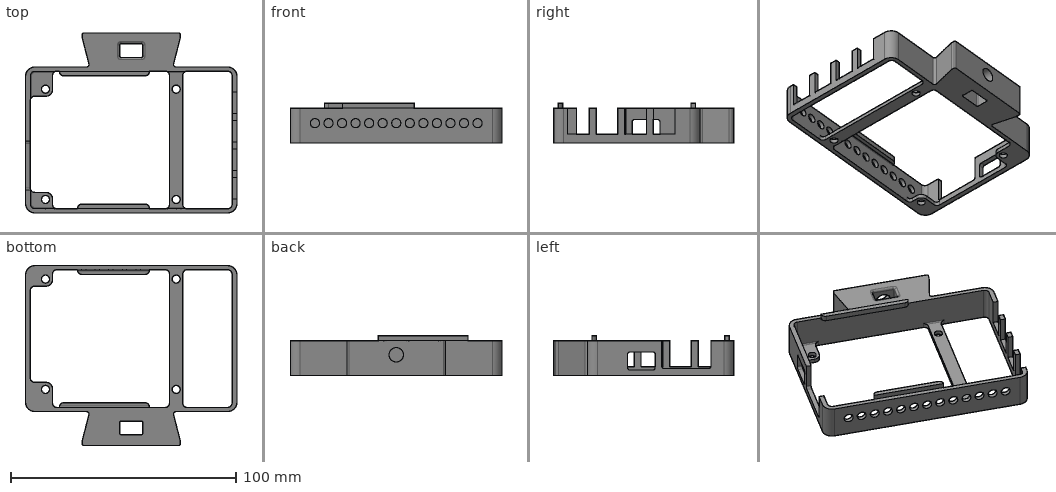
import cadquery as cq
import math

frame_length = 94
frame_width = 65.0
rim_height = 15.5
side_wall = 2.3
long_wall = 2.0
outer_radius = 4.3
inner_radius = 2.0

block_depth = 15
block_top_width = 43.6
block_root_width = 37.0
block_straight = 2.2
block_corner_radius = 0.75
block_root_radius = 0.9

pocket_length = 10.1
pocket_width = 5.9
pocket_gap = 4.9
pocket_corner_radius = 0.5
pocket_rim_radius = 1.0
screw_hole_diameter = 6.4
screw_hole_height = 9.2

support_thickness = 2.0
support_hole_diameter = 3.5
support_hole_x = (-38.1, 19.9)
support_hole_y = (-26.4, 22.6)
bar_margin = 3.0
tab_margin = 3.2
support_corner_radius = 3.0
support_side_fillet = 1.8
support_top_fillet = 0.5

lip_top = 17.8
lip_bottom = 15.2
lip_depth = 2.1
lip_end_radius = 2.0
lip_cove_radius = 0.5
lip_right_end = 8.1
back_lip_length = 40.0
front_lip_length = 32

vent_count = 13
vent_pitch = 6.0
vent_diameter = 4.0
vent_height = 8.8

window_center_y = 8.6
window_width = 12.2
window_bottom = 2.4
window_top = 10.4
notch_center_y = -11.4
notch_width = 21.8
notch_bottom = 3.1
opening_radius = 1.0

slot_count = 4
slot_pitch = 12.7
slot_width = 9.5
slot_bottom = 3.95
slot_row_center_y = -2.4

half_length = frame_length / 2
half_width = frame_width / 2
cavity_length = frame_length - 2 * side_wall
cavity_width = frame_width - 2 * long_wall
inner_x = cavity_length / 2
inner_y = cavity_width / 2
block_end_y = half_width + block_depth


def box(x_min, x_max, y_min, y_max, z_min, z_max):
    """Box given by its limits along each axis."""
    size = (x_max - x_min, y_max - y_min, z_max - z_min)
    return cq.Workplane("XY").box(*size, centered=False).translate((x_min, y_min, z_min))


def near_line(start, end, reach=0.05):
    """Selector for edges centred close to the segment from start to end."""
    low = tuple(min(a, b) - reach for a, b in zip(start, end))
    high = tuple(max(a, b) + reach for a, b in zip(start, end))
    return cq.selectors.BoxSelector(low, high)


def make_block():
    """Dovetail-shaped block that widens away from the frame."""
    overlap_y = half_width - long_wall / 2
    straight_y = block_end_y - block_straight
    half_top = block_top_width / 2
    half_root = block_root_width / 2
    outline = [
        (-half_root, overlap_y),
        (half_root, overlap_y),
        (half_root, half_width),
        (half_top, straight_y),
        (half_top, block_end_y),
        (-half_top, block_end_y),
        (-half_top, straight_y),
        (-half_root, half_width),
    ]
    block = cq.Workplane("XY").polyline(outline).close().extrude(rim_height)
    return block.edges("|Z and >Y").fillet(block_corner_radius)


def make_frame():
    """Solid rounded slab with the block attached, hollowed to a ring."""
    frame = cq.Workplane("XY").rect(frame_length, frame_width).extrude(rim_height)
    frame = frame.edges("|Z").fillet(outer_radius).union(make_block())
    half_root = block_root_width / 2
    for x in (-half_root, half_root):
        root = near_line((x, half_width, 0), (x, half_width, rim_height))
        frame = frame.edges("|Z").edges(root).fillet(block_root_radius)
    cavity = cq.Workplane("XY").rect(cavity_length, cavity_width).extrude(rim_height)
    return frame.cut(cavity.edges("|Z").fillet(inner_radius))


def add_supports(frame):
    """Two corner tabs and a cross bar, blended into the walls and drilled."""
    tab_hole_x, bar_x = support_hole_x
    front_hole_y, back_hole_y = support_hole_y
    tab_edge_x = tab_hole_x + tab_margin
    bar_left = bar_x - bar_margin
    bar_right = bar_x + bar_margin
    front_edge_y = front_hole_y + tab_margin
    back_edge_y = back_hole_y - tab_margin
    wall_x = -inner_x - side_wall / 2
    wall_y = inner_y + long_wall / 2

    supports = box(bar_left, bar_right, -wall_y, wall_y, 0, support_thickness)
    front_tab = box(wall_x, tab_edge_x, -wall_y, front_edge_y, 0, support_thickness)
    back_tab = box(wall_x, tab_edge_x, back_edge_y, wall_y, 0, support_thickness)
    supports = supports.union(front_tab.edges("|Z and >X and >Y").fillet(support_corner_radius))
    supports = supports.union(back_tab.edges("|Z and >X and <Y").fillet(support_corner_radius))
    slab = cq.Workplane("XY").rect(frame_length, frame_width).extrude(support_thickness)
    part = frame.union(supports.intersect(slab.edges("|Z").fillet(outer_radius)))

    corners = [(-inner_x, front_edge_y), (-inner_x, back_edge_y)]
    for x in (tab_edge_x, bar_left, bar_right):
        corners += [(x, -inner_y), (x, inner_y)]
    for x, y in corners:
        corner = near_line((x, y, 0), (x, y, support_thickness))
        part = part.edges("|Z").edges(corner).fillet(support_side_fillet)
    for y in (-inner_y, inner_y):
        bar_end = near_line((bar_left, y, support_thickness), (bar_right, y, support_thickness))
        part = part.edges("|X").edges(bar_end).fillet(support_top_fillet)
        tab_end = near_line((-inner_x, y, support_thickness), (tab_edge_x, y, support_thickness))
        part = part.edges("|X").edges(tab_end).fillet(support_top_fillet)

    centers = [(x, y) for x in support_hole_x for y in support_hole_y]
    holes = cq.Workplane("XY").pushPoints(centers).circle(support_hole_diameter / 2)
    return part.cut(holes.extrude(support_thickness))


def make_lip(length, side):
    """Round-ended lip on the long wall at side = +1 (+Y) or -1 (-Y), with a cove below it."""
    left_end = lip_right_end - length
    lip = box(left_end, lip_right_end, inner_y - lip_depth, inner_y, lip_bottom, lip_top)
    lip = lip.edges("|Z and <Y").fillet(lip_end_radius)

    arc_offset = lip_cove_radius * (1 - math.sqrt(0.5))
    cove = (
        cq.Workplane("YZ", origin=(left_end, 0, 0))
        .moveTo(inner_y, lip_bottom)
        .lineTo(inner_y - lip_cove_radius, lip_bottom)
        .threePointArc(
            (inner_y - arc_offset, lip_bottom - arc_offset),
            (inner_y, lip_bottom - lip_cove_radius),
        )
        .close()
        .extrude(length)
    )
    lip = lip.union(cove)
    return lip if side > 0 else lip.mirror("XZ")


def cut_pocket(part):
    """Through pocket with a rounded top rim and a screw hole out to the block's end face."""
    center_y = block_end_y - pocket_gap - pocket_width / 2
    pocket = cq.Workplane("XY").center(0, center_y).rect(pocket_length, pocket_width).extrude(rim_height)
    part = part.cut(pocket.edges("|Z").fillet(pocket_corner_radius))
    half_x, half_y = pocket_length / 2, pocket_width / 2
    rim = near_line((-half_x, center_y - half_y, rim_height), (half_x, center_y + half_y, rim_height))
    part = part.edges(rim).fillet(pocket_rim_radius)

    end_face = cq.Workplane("XZ", origin=(0, block_end_y, screw_hole_height))
    return part.cut(end_face.circle(screw_hole_diameter / 2).extrude(pocket_gap + pocket_width / 2))


def make_vents():
    """Row of round holes through the -Y wall."""
    vents = cq.Workplane("XZ", origin=(0, -inner_y, vent_height))
    return vents.rarray(vent_pitch, 0.9, vent_count, 1).circle(vent_diameter / 2).extrude(long_wall)


def side_opening(x_min, center_y, width, bottom, top):
    """Block that opens a side wall whose lower X limit is x_min."""
    half = width / 2
    return box(x_min, x_min + side_wall, center_y - half, center_y + half, bottom, top)


result = add_supports(make_frame())
result = cut_pocket(result)
result = result.union(make_lip(back_lip_length, 1)).union(make_lip(front_lip_length, -1))
result = result.cut(make_vents())

window = side_opening(-half_length, window_center_y, window_width, window_bottom, window_top)
result = result.cut(window.edges("|X").fillet(opening_radius))
notch = side_opening(-half_length, notch_center_y, notch_width, notch_bottom, rim_height)
result = result.cut(notch.edges("|X and <Z").fillet(opening_radius))

for i in range(slot_count):
    slot_y = slot_row_center_y + (i - (slot_count - 1) / 2) * slot_pitch
    result = result.cut(side_opening(inner_x, slot_y, slot_width, slot_bottom, rim_height))